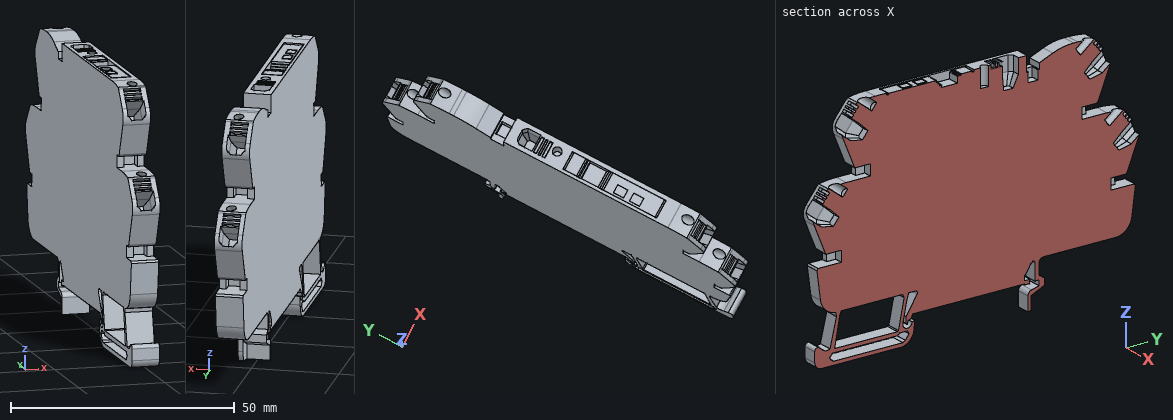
import cadquery as cq
import math

WIDTH = 6.4
HALF_WIDTH = WIDTH / 2
HEIGHT = 62.45

TIER_STEP_OUT = 7.93
TIER_STEP_DOWN = 19.0
TIER_SHIFTS = ((0.0, 0.0), (TIER_STEP_OUT, TIER_STEP_DOWN))

LOBE_ROLL_START = (27.7, HEIGHT)
LOBE_ROLL_MID = (30.4, HEIGHT - 0.13)
LOBE_ROLL_END = (32.5, HEIGHT - 0.45)
SLOPE_TOP = (32.9, HEIGHT - 0.75)
SLOPE_END = (36.0, 57.8)
NOSE_MID = (36.75, 55.9)
NOSE_END = (36.4, 54.1)
LOBE_HEEL = (33.4, 46.7)
LOBE_FOOT = (33.1, 46.3)
NECK = 31.5

BASE_TOP = 24.5
BASE_TOP_HALF = 43.6
BASE_TOP_BEVEL = 0.3
BASE_TOP_BEVEL_HEIGHT = 0.5
BASE_BOTTOM = 12.65
BASE_BOTTOM_HALF = 42.1
BASE_CORNER_RADIUS = 4.6

CROWN_ARC_START = 26.6
CROWN_ARC_END = 20.9
CROWN_ANGLE = math.radians(22)
NOTCH_OUTER = 17.2
NOTCH_INNER = 13.9
NOTCH_FLOOR = 58.3

SOCKET_WIDTH = 3.1
SOCKET_LENGTH = 2.5
SOCKET_DEPTH = 2.5

FUNNEL_SIZE = 4.2
FUNNEL_CHAMFER = 0.9
FUNNEL_TAPER = 0.9
FUNNEL_FAR_TAPER = 1.5
FUNNEL_STRAIGHT_DEPTH = 4.0
FUNNEL_NEAR_TAPER = 0.3
FUNNEL_DEPTH = 7.0
TERMINAL_TO_SLOPE_END = 0.4
LATCH_OFFSET = 3.85
LATCH_LENGTH = 2.85
LATCH_LEFT = -2.08
LATCH_RIGHT = 1.83
LATCH_DEPTH = 1.0
LATCH_BARS = 2
LATCH_BAR_LENGTH = 0.5
TEST_HOLE_OFFSET = 7.1
TEST_HOLE_X = 0.52
TEST_HOLE_DIAMETER = 2.1
TEST_HOLE_DEPTH = 5.0
TOP_TERMINAL_Y = 9.4
CUTTER_OVERSHOOT = 3.0

PANEL_LEFT = -2.4
PANEL_RIGHT = 2.1
PANEL_START = -0.7
PANEL_END = -24.4
PANEL_RECESS = 0.2
GROOVE_WIDTH = 0.4
PANEL_GROOVES = (PANEL_START - GROOVE_WIDTH / 2, -4.3, -5.0, PANEL_END + GROOVE_WIDTH / 2)
GROOVE_DEPTH = 0.3
WINDOW_START = -5.2
WINDOW_END = -10.9
WINDOW_DEPTH = 2.0
WINDOW_STEPS = 3
WINDOW_STEP_LENGTH = 0.5
LAMP_LEFT = -1.85
LAMP_RIGHT = 0.2
LAMP_LENGTH = 2.55
LAMP_STARTS = (-13.2, -17.25)
LAMP_RISE = 0.15

ROOT = BASE_BOTTOM + 1.0
CLIP_GAP_TOP = 15.6
RAIL_SEAT = 7.3
LIP_TOP = 8.2
LIP_BOTTOM = 7.05
LIP_ROOT = 13.25
LIP_TIP = 14.7
CLIP_ROOT = 20.7
FOOT_END = -44.2
FOOT_TOP = 4.1
SLOT_TOP = 3.0
SLOT_BOTTOM = 1.1

WEB = 1.2
HOLLOW_DEPTH = WIDTH - WEB


def across_width():
    """YZ sketch plane on the -X face, extruding toward +X."""
    return cq.Workplane("YZ", origin=(-HALF_WIDTH, 0, 0))


def plate(points, depth=WIDTH):
    """Straight-sided outline in (Y, Z), extruded from the -X face."""
    return across_width().polyline(points).close().extrude(depth)


def block(x_min, x_max, y_min, y_max, z_min, z_max):
    size = (x_max - x_min, y_max - y_min, z_max - z_min)
    return cq.Workplane("XY").box(*size, centered=False).translate((x_min, y_min, z_min))


def lobe(side, out, down):
    """Half tier from the middle plane to its nose; side is +1 or -1 along Y."""

    def place(point):
        return (side * (point[0] + out), point[1] - down)

    return (
        across_width()
        .moveTo(0, HEIGHT - down)
        .lineTo(*place(LOBE_ROLL_START))
        .threePointArc(place(LOBE_ROLL_MID), place(LOBE_ROLL_END))
        .lineTo(*place(SLOPE_TOP))
        .lineTo(*place(SLOPE_END))
        .threePointArc(place(NOSE_MID), place(NOSE_END))
        .lineTo(*place(LOBE_HEEL))
        .lineTo(*place(LOBE_FOOT))
        .lineTo(0, LOBE_FOOT[1] - down)
        .close()
        .extrude(WIDTH)
    )


def neck_floor(down):
    """Height of the surface below a tier: the lower tier for the upper one, else the base."""
    return BASE_TOP if down else HEIGHT - TIER_STEP_DOWN


def base():
    """Flared base with bevelled top corners and rounded bottom corners."""
    bevel_bottom = BASE_TOP - BASE_TOP_BEVEL_HEIGHT
    return plate([
        (-BASE_TOP_HALF, bevel_bottom),
        (BASE_TOP_BEVEL - BASE_TOP_HALF, BASE_TOP),
        (BASE_TOP_HALF - BASE_TOP_BEVEL, BASE_TOP),
        (BASE_TOP_HALF, bevel_bottom),
        (BASE_BOTTOM_HALF, BASE_BOTTOM),
        (-BASE_BOTTOM_HALF, BASE_BOTTOM),
    ]).edges("|X and <Z").fillet(BASE_CORNER_RADIUS)


def crown_cutter():
    """Space above the rounded crown, down to the floor of the marker notch."""
    radius = (CROWN_ARC_START - CROWN_ARC_END) / math.sin(CROWN_ANGLE)
    arc_mid = (
        CROWN_ARC_START - radius * math.sin(CROWN_ANGLE / 2),
        HEIGHT - radius * (1 - math.cos(CROWN_ANGLE / 2)),
    )
    arc_end_height = HEIGHT - radius * (1 - math.cos(CROWN_ANGLE))
    ramp_drop = (CROWN_ARC_END - NOTCH_OUTER) * math.tan(CROWN_ANGLE)
    return (
        across_width()
        .moveTo(CROWN_ARC_START, HEIGHT)
        .threePointArc(arc_mid, (CROWN_ARC_END, arc_end_height))
        .lineTo(NOTCH_OUTER, arc_end_height - ramp_drop)
        .lineTo(NOTCH_OUTER, NOTCH_FLOOR)
        .lineTo(NOTCH_INNER, NOTCH_FLOOR)
        .lineTo(NOTCH_INNER, HEIGHT)
        .close()
        .extrude(WIDTH)
    )


def rail_centre():
    """Block between clip and foot, with a lip at each end."""
    return (
        across_width()
        .moveTo(CLIP_GAP_TOP, ROOT)
        .lineTo(CLIP_GAP_TOP, 12.3)
        .lineTo(15.0, 11.8)
        .lineTo(LIP_ROOT, 9.0)
        .lineTo(LIP_ROOT, LIP_TOP)
        .lineTo(LIP_TIP, LIP_TOP)
        .lineTo(LIP_TIP, LIP_BOTTOM)
        .lineTo(LIP_ROOT, LIP_BOTTOM)
        .lineTo(LIP_ROOT, RAIL_SEAT)
        .lineTo(-17.3, RAIL_SEAT)
        .lineTo(-17.7, 6.3)
        .lineTo(-18.5, 6.0)
        .lineTo(-18.8, 5.1)
        .lineTo(-19.2, 5.5)
        .lineTo(-19.2, 7.15)
        .lineTo(-16.2, 11.9)
        .threePointArc((-16.15, 12.4), (-16.6, BASE_BOTTOM))
        .lineTo(-16.6, ROOT)
        .close()
        .extrude(WIDTH)
    )


def clip():
    """Spring clip that hooks under the rail, hollowed from the -X face."""
    body = (
        across_width()
        .moveTo(CLIP_ROOT, ROOT)
        .lineTo(CLIP_ROOT, BASE_BOTTOM)
        .threePointArc((20.25, 12.4), (20.1, 11.9))
        .lineTo(19.5, 3.65)
        .threePointArc((19.25, 2.2), (18.7, 1.2))
        .lineTo(14.1, 0.35)
        .lineTo(14.1, 4.3)
        .threePointArc((14.4, 5.05), (15.1, 5.5))
        .lineTo(17.1, 6.05)
        .lineTo(17.1, 7.35)
        .lineTo(16.05, 7.35)
        .lineTo(16.05, 11.7)
        .threePointArc((15.95, 12.1), (CLIP_GAP_TOP, 12.3))
        .lineTo(CLIP_GAP_TOP, ROOT)
        .close()
        .extrude(WIDTH)
    )
    hollow = (
        across_width()
        .moveTo(CLIP_ROOT, BASE_BOTTOM)
        .lineTo(18.4, BASE_BOTTOM)
        .threePointArc((17.7, 12.35), (17.3, 11.7))
        .lineTo(17.3, 8.5)
        .lineTo(18.7, 7.6)
        .lineTo(18.7, 5.7)
        .lineTo(15.1, 4.1)
        .lineTo(15.1, 0)
        .lineTo(CLIP_ROOT, 0)
        .close()
        .extrude(HOLLOW_DEPTH)
    )
    return body.cut(hollow)


def rail_foot():
    """Fixed foot carried by two legs, with a long slot hollowed from the -X face."""
    body = (
        across_width()
        .moveTo(-18.4, ROOT)
        .lineTo(-18.4, BASE_BOTTOM)
        .lineTo(-18.9, 10.9)
        .lineTo(-20.0, 5.5)
        .threePointArc((-18.9, 4.3), (-17.6, 5.55))
        .lineTo(-16.75, 5.7)
        .lineTo(-16.9, 3.65)
        .threePointArc((-18.05, 1.1), (-20.1, 0))
        .lineTo(-42.2, 0)
        .threePointArc((-43.6, 0.55), (FOOT_END, 1.9))
        .lineTo(FOOT_END, 4.6)
        .threePointArc((-43.8, 5.3), (-43.0, 5.4))
        .lineTo(-41.9, 4.5)
        .threePointArc((-40.95, 4.1), (-40.0, 4.3))
        .lineTo(-38.25, 11.7)
        .lineTo(-38.4, BASE_BOTTOM)
        .lineTo(-38.4, ROOT)
        .close()
        .extrude(WIDTH)
    )
    opening = plate([
        (-20.1, BASE_BOTTOM), (-36.8, BASE_BOTTOM), (-37.2, 11.9), (-38.6, FOOT_TOP),
        (-21.6, FOOT_TOP), (-21.3, 4.3), (-19.75, 11.9),
    ])
    slot = plate([
        (-18.4, 2.85), (-18.8, 3.55), (-20.7, 3.55), (-21.5, SLOT_TOP), (-39.2, SLOT_TOP),
        (-40.0, 2.1), (-39.1, SLOT_BOTTOM), (-20.1, SLOT_BOTTOM), (-19.4, 1.5),
    ], HOLLOW_DEPTH)
    return body.cut(opening).cut(slot)


def terminal_cutter(origin, normal, latch_side):
    """Wire funnel, latch and test hole; latch_side is the local Y direction of the latch."""
    plane = cq.Plane(origin=origin, xDir=(1, 0, 0), normal=normal)
    half = FUNNEL_SIZE / 2
    near = latch_side * half
    far = -near
    far_shoulder = far + latch_side * FUNNEL_CHAMFER
    mouth = [
        (-half, near), (half, near), (half, far_shoulder), (half - FUNNEL_CHAMFER, far),
        (FUNNEL_CHAMFER - half, far), (-half, far_shoulder),
    ]
    narrow = half - FUNNEL_TAPER
    floor_near = near - latch_side * FUNNEL_NEAR_TAPER
    floor_far = far + latch_side * FUNNEL_FAR_TAPER
    floor_shoulder = floor_far + latch_side * FUNNEL_CHAMFER / 2
    floor = [
        (-narrow, floor_near), (narrow, floor_near), (narrow, floor_shoulder),
        (narrow - FUNNEL_CHAMFER / 2, floor_far), (FUNNEL_CHAMFER / 2 - narrow, floor_far),
        (-narrow, floor_shoulder),
    ]
    funnel = (
        cq.Workplane(plane)
        .workplane(offset=-FUNNEL_STRAIGHT_DEPTH)
        .polyline(mouth).close()
        .workplane(offset=FUNNEL_STRAIGHT_DEPTH - FUNNEL_DEPTH)
        .polyline(floor).close()
        .loft(ruled=True)
    )
    entry = (
        cq.Workplane(plane)
        .workplane(offset=-FUNNEL_STRAIGHT_DEPTH)
        .polyline(mouth).close()
        .extrude(FUNNEL_STRAIGHT_DEPTH + CUTTER_OVERSHOOT)
    )

    latch_x = (LATCH_LEFT + LATCH_RIGHT) / 2
    latch_width = LATCH_RIGHT - LATCH_LEFT
    latch = (
        cq.Workplane(plane)
        .center(latch_x, latch_side * LATCH_OFFSET)
        .rect(latch_width, LATCH_LENGTH)
        .extrude(-LATCH_DEPTH)
    )
    bar_pitch = LATCH_LENGTH / (LATCH_BARS + 1)
    bars = (
        cq.Workplane(plane)
        .center(latch_x, latch_side * LATCH_OFFSET)
        .rarray(1, bar_pitch, 1, LATCH_BARS)
        .rect(latch_width, LATCH_BAR_LENGTH)
        .extrude(-LATCH_DEPTH)
    )

    test_hole = (
        cq.Workplane(plane)
        .center(TEST_HOLE_X, latch_side * TEST_HOLE_OFFSET)
        .circle(TEST_HOLE_DIAMETER / 2)
        .extrude(CUTTER_OVERSHOOT + TEST_HOLE_DEPTH)
        .translate(plane.zDir * -TEST_HOLE_DEPTH)
    )
    return funnel.union(entry).union(latch.cut(bars)).union(test_hole)


def lobe_terminal_cutter(side, out, down):
    """Terminal set square to the sloping face of a lobe."""
    run = SLOPE_END[0] - SLOPE_TOP[0]
    drop = SLOPE_TOP[1] - SLOPE_END[1]
    slope = math.hypot(run, drop)
    centre_out = SLOPE_END[0] + out + TERMINAL_TO_SLOPE_END * run / slope
    centre_height = SLOPE_END[1] - down - TERMINAL_TO_SLOPE_END * drop / slope
    return terminal_cutter(
        (0, side * centre_out, centre_height), (0, side * drop / slope, run / slope), -side
    )


def side_socket(side, out, down):
    """Marker socket over the full height of the notch below a lobe."""
    notch_top = LOBE_FOOT[1] - down
    wall = side * (NECK + out)
    inner = wall - side * SOCKET_DEPTH
    return block(
        -SOCKET_WIDTH / 2, SOCKET_WIDTH / 2, min(wall, inner), max(wall, inner),
        neck_floor(down), notch_top,
    )


def top_socket():
    """Marker socket in the floor of the notch beside the crown."""
    middle = (NOTCH_OUTER + NOTCH_INNER) / 2
    return block(
        -SOCKET_WIDTH / 2, SOCKET_WIDTH / 2, middle - SOCKET_LENGTH / 2, middle + SOCKET_LENGTH / 2,
        NOTCH_FLOOR - SOCKET_DEPTH, NOTCH_FLOOR,
    )


def panel_cutter():
    """Shallow recess with cross grooves, a stepped window and two raised lamps."""
    face = HEIGHT - PANEL_RECESS
    cutter = block(PANEL_LEFT, PANEL_RIGHT, PANEL_END, PANEL_START, face, HEIGHT)
    for y in PANEL_GROOVES:
        cutter = cutter.union(
            block(PANEL_LEFT, PANEL_RIGHT, y - GROOVE_WIDTH / 2, y + GROOVE_WIDTH / 2,
                  face - GROOVE_DEPTH, face)
        )
    for step in range(WINDOW_STEPS + 1):
        end = WINDOW_END + step * WINDOW_STEP_LENGTH
        depth = WINDOW_DEPTH * (step + 1) / (WINDOW_STEPS + 1)
        cutter = cutter.union(
            block(PANEL_LEFT, PANEL_RIGHT, end, WINDOW_START, face - depth, face)
        )
    for y in LAMP_STARTS:
        cutter = cutter.cut(block(LAMP_LEFT, LAMP_RIGHT, y - LAMP_LENGTH, y, face, face + LAMP_RISE))
    return cutter


def housing():
    """Base, both tiers and the rail fixing joined, before the terminals are cut."""
    body = base()
    for out, down in TIER_SHIFTS:
        neck = NECK + out
        body = body.union(
            block(-HALF_WIDTH, HALF_WIDTH, -neck, neck, neck_floor(down), LOBE_FOOT[1] - down)
        )
        for side in (-1, 1):
            body = body.union(lobe(side, out, down))
    return body.cut(crown_cutter()).union(rail_centre()).union(clip()).union(rail_foot())


result = housing()
for tier_out, tier_down in TIER_SHIFTS:
    for lobe_side in (-1, 1):
        result = result.cut(lobe_terminal_cutter(lobe_side, tier_out, tier_down))
        result = result.cut(side_socket(lobe_side, tier_out, tier_down))
result = result.cut(terminal_cutter((0, TOP_TERMINAL_Y, HEIGHT), (0, 0, 1), -1))
result = result.cut(top_socket())
result = result.cut(panel_cutter())